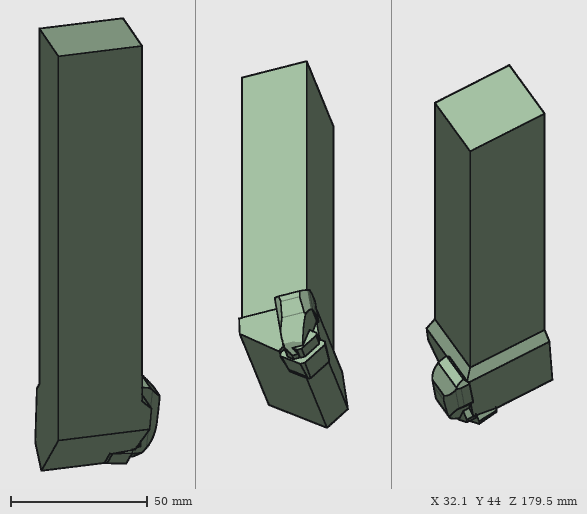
import cadquery as cq
import math

shank_width = 25.0
shank_depth = 32.0
total_height = 179.5

neck_z = 35.5
shoulder_x, shoulder_z = -3.5, 32.1
knee_x, knee_z = -5.5, 9.5
tip_x = 2.5
tip_z = knee_z - (tip_x - knee_x)
heel_z = tip_z + (shank_width - tip_x)

head_top_y = 35.5
head_bottom_y = 32.9

insert_x, insert_z = 1.5, 8.6
insert_reach = 8.6
corner_half_flat = 0.9
insert_bottom_y = 24.2
insert_top_y = 32.5
insert_taper = 7.0

plate_z = 10.0
plate_reach = 6.5
plate_top_y = 36.5

clamp_left, clamp_right = -4.7, 9.2
clamp_root_y = 30.5
clamp_back_y = 44.0
clamp_bottom_z = 3.8
clamp_top_z = 33.7
clamp_section_z = 24.8
clamp_lean_right = math.degrees(math.atan2(shoulder_x - knee_x, shoulder_z - knee_z))
clamp_lean_back = 4.0
clamp_facet_z = 20.3
clamp_facet_bottom_x = 0.5
clamp_corner_x = -2.2
clamp_corner_slope = 0.9
face_margin = 1.8


def extrude_y(outline, start_y, end_y):
    """Extrude an outline drawn on the XZ plane from start_y to end_y."""
    return outline.extrude(start_y - end_y).translate((0, start_y, 0))


def make_shank_and_head():
    """One profile through the depth, with the back of shank and head trimmed."""
    front_outline = cq.Workplane("XZ").polyline([
        (0, total_height),
        (shank_width, total_height),
        (shank_width, heel_z),
        (tip_x, tip_z),
        (knee_x, knee_z),
        (shoulder_x, shoulder_z),
        (0, neck_z),
    ]).close()
    side_outline = cq.Workplane("YZ").polyline([
        (0, 0),
        (head_bottom_y, 0),
        (head_top_y, shoulder_z),
        (shank_depth, neck_z),
        (shank_depth, total_height),
        (0, total_height),
    ]).close()
    side_block = side_outline.extrude(shank_width - knee_x).translate((knee_x, 0, 0))
    return extrude_y(front_outline, 0, head_top_y).intersect(side_block)


def make_clamp_section():
    """Rounded bar whose section leans to the right and back as it rises."""
    section = (
        cq.Workplane("XY")
        .moveTo(clamp_left, clamp_root_y)
        .lineTo(clamp_left, 37.9)
        .lineTo(-4.3, 40.0)
        .threePointArc((-3.2, 42.4), (-1.0, clamp_back_y))
        .lineTo(6.1, clamp_back_y)
        .threePointArc((8.3, 42.2), (8.8, 39.9))
        .lineTo(clamp_right, clamp_root_y)
        .close()
        .extrude(clamp_top_z, both=True)
    )
    pivot = (0, clamp_back_y, 0)
    leaning = section.rotate((0, 0, 0), (0, 1, 0), clamp_lean_right)
    leaning = leaning.rotate(pivot, (1, clamp_back_y, 0), -clamp_lean_back)
    return leaning.translate((0, 0, clamp_section_z))


def make_clamp_side():
    """Domed side outline, resting on the leaning back of the head."""
    left = knee_x - face_margin
    right = clamp_right + face_margin
    return (
        cq.Workplane("YZ")
        .moveTo(32.3, clamp_bottom_z)
        .lineTo(34.3, clamp_bottom_z)
        .threePointArc((41.1, 11.1), (43.0, 16.2))
        .lineTo(clamp_back_y, clamp_section_z)
        .lineTo(clamp_back_y, 28.0)
        .lineTo(39.9, 32.7)
        .threePointArc((38.0, 33.4), (36.0, clamp_top_z))
        .lineTo(34.6, 32.3)
        .close()
        .extrude(right - left)
        .translate((left, 0, 0))
    )


def make_clamp():
    """Leaning bar trimmed by its side outline, lower left facet and the head's lower edge."""
    left = knee_x - face_margin
    right = clamp_right + face_margin
    right_edge_z = tip_z + (right - tip_x)
    face = extrude_y(
        cq.Workplane("XZ").polyline([
            (left, clamp_top_z - clamp_corner_slope * (clamp_corner_x - left)),
            (clamp_corner_x, clamp_top_z),
            (right, clamp_top_z),
            (right, right_edge_z),
            (tip_x + clamp_bottom_z - tip_z, clamp_bottom_z),
            (clamp_facet_bottom_x, clamp_bottom_z),
            (clamp_left, clamp_facet_z),
            (left, clamp_facet_z + face_margin),
        ]).close(),
        clamp_root_y,
        clamp_back_y,
    )
    return make_clamp_section().intersect(make_clamp_side()).intersect(face)


def blunted_square(reach, center_z):
    """Outline of a square on its corner, its four corners cut flat."""
    return cq.Workplane("XZ", origin=(insert_x, 0, center_z)).polyline([
        (-corner_half_flat, -reach),
        (corner_half_flat, -reach),
        (reach, -corner_half_flat),
        (reach, corner_half_flat),
        (corner_half_flat, reach),
        (-corner_half_flat, reach),
        (-reach, corner_half_flat),
        (-reach, -corner_half_flat),
    ]).close()


def make_insert():
    """Insert that narrows from its top face towards its seat."""
    tapered = blunted_square(insert_reach, insert_z).extrude(
        insert_top_y - insert_bottom_y, taper=insert_taper
    )
    return tapered.translate((0, insert_top_y, 0))


def make_holder(insert):
    """Shank, head, plate and clamp in one piece, with the seat for the insert."""
    opening = extrude_y(blunted_square(insert_reach, insert_z), insert_top_y, head_top_y)
    plate = extrude_y(blunted_square(plate_reach, plate_z), insert_top_y, plate_top_y)
    clamp = make_clamp().cut(insert)
    return make_shank_and_head().cut(insert).cut(opening).union(plate).union(clamp)


insert = make_insert()
holder = make_holder(insert)

result = cq.Compound.makeCompound([holder.val(), insert.val()])